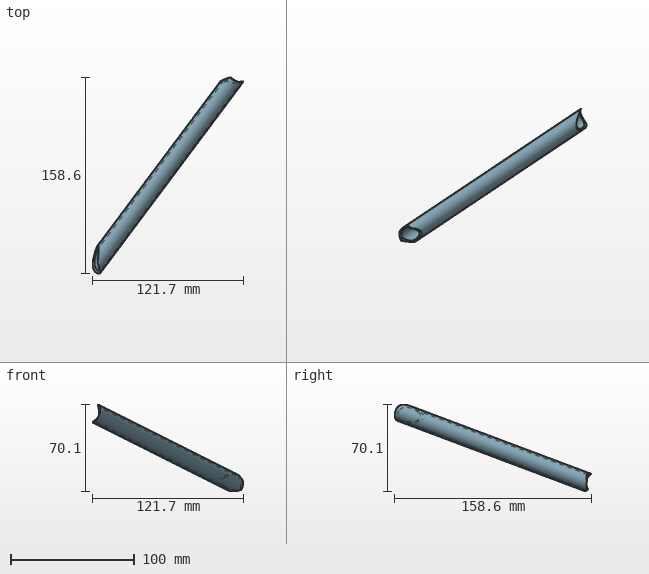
import cadquery as cq
tube_diameter = 15.0
wall_thickness = 1.5
bore_diameter = tube_diameter - 2 * wall_thickness
tube_direction = cq.Vector(1.0, 1.3375, -0.502)
tube_axis_point = cq.Vector(0.0, 6.65, -1.647)
rough_length = 260.0

crossing_diameter = 20.0
crossing_length = 60.0

near_point = cq.Vector(-64.49, -79.59, 30.71)
near_direction = cq.Vector(-0.0566, 0.9903, -0.1265)

far_level_point = cq.Vector(58.77, 85.43, -30.08)
far_level_direction = cq.Vector(0.992, -0.0022, -0.1265)
far_upright_point = cq.Vector(55.42, 84.99, -29.80)
far_upright_direction = cq.Vector(0.3688, 0.0713, 0.9268)


def rod(center, direction, length, diameter):
    """Solid rod whose middle lies on the given point."""
    plane = cq.Plane(origin=center, normal=direction)
    return cq.Workplane(plane).circle(diameter / 2).extrude(length / 2, both=True)


def rough_tube():
    """Hollow tube, still longer than the finished part."""
    outside = rod(tube_axis_point, tube_direction, rough_length, tube_diameter)
    return outside.cut(rod(tube_axis_point, tube_direction, rough_length, bore_diameter))


def cope_cutter(point, direction, outward):
    """Crossing tube, plus the waste lying beyond its axis in the outward direction."""
    waste = cq.Workplane(cq.Plane(origin=point, normal=outward)).circle(tube_diameter).extrude(rough_length)
    return rod(point, direction, crossing_length, crossing_diameter).union(waste)


result = (
    rough_tube()
    .cut(cope_cutter(near_point, near_direction, -tube_direction))
    .cut(cope_cutter(far_level_point, far_level_direction, tube_direction))
    .cut(cope_cutter(far_upright_point, far_upright_direction, tube_direction))
)